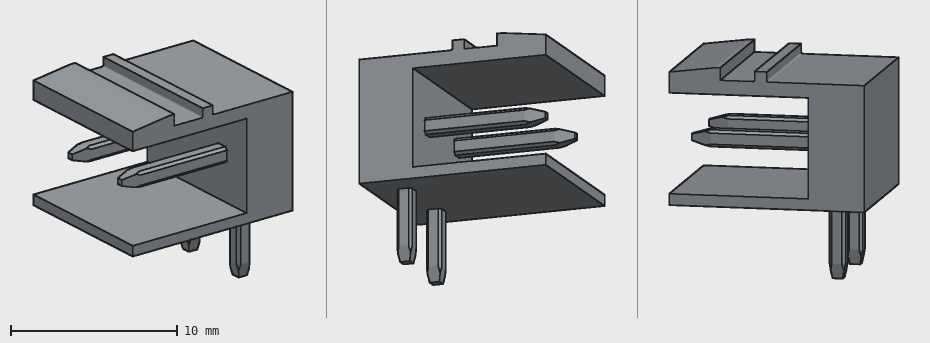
import cadquery as cq


housing_width = 10.0
housing_depth = 12.0
body_height = 7.75
block_depth = 3.46
floor_thickness = 0.7
roof_thickness = 0.88
rib_start = 5.25
rib_width = 0.75
rib_height = 0.61
rib_fillet = 0.1
lip_depth = 3.13
lip_flat = 0.35
lip_height = 0.75
lip_drop = 0.36
block_front = housing_depth - block_depth

pin_count = 2
pin_pitch = housing_width / pin_count
pin_width = 1.04
leg_thickness = 0.99
pin_chamfer = 0.18
contact_height = 3.8
contact_tip_y = 0.9
contact_taper = 1.22
contact_tip_size = 0.39
leg_center_y = housing_depth - 2.1
leg_length = 4.5
leg_taper = 0.94
leg_tip_size = 0.62


def make_housing():
    """Block with a floor, and a roof that carries a rib and a sloped front lip."""
    profile = (
        cq.Workplane("YZ")
        .moveTo(0, 0)
        .lineTo(housing_depth, 0)
        .lineTo(housing_depth, body_height)
        .lineTo(lip_depth, body_height)
        .lineTo(lip_depth, body_height + lip_height)
        .lineTo(lip_depth - lip_flat, body_height + lip_height)
        .lineTo(0, body_height + lip_height - lip_drop)
        .lineTo(0, body_height - roof_thickness)
        .lineTo(block_front, body_height - roof_thickness)
        .lineTo(block_front, floor_thickness)
        .lineTo(0, floor_thickness)
        .close()
        .extrude(housing_width / 2, both=True)
    )
    return profile.union(make_rib())


def make_rib():
    """Rib across the roof, with a small fillet along each side of its foot."""
    rib_end = rib_start + rib_width
    return (
        cq.Workplane("YZ")
        .moveTo(rib_start - rib_fillet, body_height)
        .radiusArc((rib_start, body_height + rib_fillet), -rib_fillet)
        .lineTo(rib_start, body_height + rib_height)
        .lineTo(rib_end, body_height + rib_height)
        .lineTo(rib_end, body_height + rib_fillet)
        .radiusArc((rib_end + rib_fillet, body_height), -rib_fillet)
        .close()
        .extrude(housing_width / 2, both=True)
    )


def make_bar(thickness, length, taper, tip_size):
    """Upright bar with chamfered long edges, narrowing to a square tip at its top."""
    bar = cq.Workplane().rect(pin_width, thickness).extrude(length).edges("|Z").chamfer(pin_chamfer)
    envelope = (
        cq.Workplane()
        .rect(pin_width, thickness)
        .extrude(length - taper)
        .faces(">Z")
        .workplane()
        .rect(pin_width, thickness)
        .workplane(offset=taper)
        .rect(tip_size, tip_size)
        .loft()
    )
    return bar.intersect(envelope)


def make_pin(x):
    """Right-angled pin: a contact toward the front and a leg down through the floor."""
    corner_y = leg_center_y + leg_thickness / 2
    corner_z = contact_height + pin_width / 2
    contact = (
        make_bar(pin_width, corner_y - contact_tip_y, contact_taper, contact_tip_size)
        .rotate((0, 0, 0), (1, 0, 0), 90)
        .translate((x, corner_y, contact_height))
    )
    leg = (
        make_bar(leg_thickness, corner_z + leg_length, leg_taper, leg_tip_size)
        .rotate((0, 0, 0), (1, 0, 0), 180)
        .translate((x, leg_center_y, corner_z))
    )
    return contact.union(leg)


pins = [make_pin((i - (pin_count - 1) / 2) * pin_pitch) for i in range(pin_count)]

housing = make_housing()
for pin in pins:
    housing = housing.cut(pin)

result = cq.Compound.makeCompound([housing.solids().val(), *[pin.solids().val() for pin in pins]])